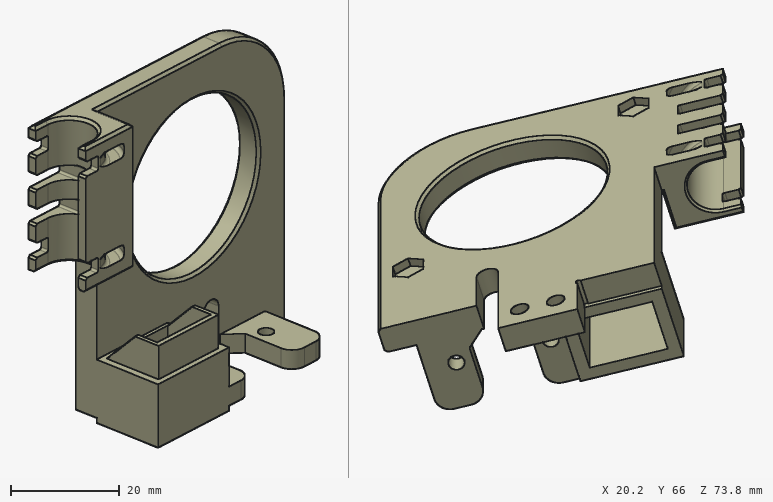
import cadquery as cq
import math


overlap = 1.5

plate_thickness = 5.2
plate_back = 66.0
plate_top = 73.8
plate_front = 13.1
plate_bottom = 9.9
corner_radius = 18.0
edge_chamfer = 0.6

tab_front = 27.8
tab_back = 42.95
tab_hole_diameter = 3.4
tab_hole_height = 4.95
tab_hole_places = (31.95, 38.8)
relief_radius = 0.48
relief_offset = 0.2

ring_diameter = 36.0
ring_y = 40.2
ring_z = 47.2
slot_width = 4.1
slot_top = 22.0
nut_sides = 6
nut_across_flats = 5.8
nut_depth = 1.7
nut_places = ((17.1, 67.3), (60.15, 29.3))

clip_width = 14.0
clip_height = 29.8
clip_bottom = plate_top - clip_height
bore_radius = 5.25
bore_x = clip_width / 2
bore_y = 3.4
bore_apex = bore_y + bore_radius
clip_bottom_chamfer = 0.45

finger_slot_width = 3.0
finger_slot_pitch = 7.0
finger_flare = 0.45
finger_corner_radius = 0.45
tip_slot_depth = 3.55
tie_back = 10.7
tie_floor_radius = 7.15
tie_floor_y = 2.6
tie_corner_radius = 0.8

box_width = 20.2
box_back = 32.9
box_bottom = 8.85
box_top = 22.0
collar_top = 28.9
collar_x = (6.3, 19.0)
collar_y = (14.7, 31.4)
passage_x = (7.4, 17.85)
passage_y = (15.6, 30.5)

ear_thickness = 4.0
ear_corner_radius = 3.0
ear_gusset = 3.25
ear_hole_diameter = 3.0
ear_hole_x = 10.8
ear_hole_places = (35.95, 53.95)
near_ear_y = (box_back - overlap, 39.2)
far_ear_y = (50.8, 60.0)


def block(x_range, y_range, z_range):
    """Box spanning the given ranges along X, Y and Z."""
    spans = [(low, high - low) for low, high in (x_range, y_range, z_range)]
    corner = [low for low, _ in spans]
    lengths = [length for _, length in spans]
    return cq.Workplane("XY").box(*lengths, centered=False).translate(corner)


def make_plate():
    """Plate with its ring opening, rounded corner, bevelled rim and lower tab."""
    panel = block((0, plate_thickness), (plate_front - overlap, plate_back), (plate_bottom, plate_top))
    ring = cq.Workplane("YZ").center(ring_y, ring_z).circle(ring_diameter / 2).extrude(plate_thickness)
    panel = panel.cut(ring).edges("%CIRCLE").chamfer(edge_chamfer)
    panel = panel.edges("|X and >Y and >Z").fillet(corner_radius)
    panel = panel.faces(">Y or >Z").edges("<X or >X").chamfer(edge_chamfer)

    corner_gap = block((0, plate_thickness), (0, plate_front), (0, clip_bottom))
    tab = block((0, plate_thickness), (tab_front, tab_back), (0, plate_bottom + overlap))
    return panel.cut(corner_gap).union(tab)


def plate_openings():
    """Open slot, tab holes, corner relief and hexagonal nut pockets of the plate."""
    side = cq.Workplane("YZ")
    slot_radius = slot_width / 2
    slot_end_z = slot_top - slot_radius
    slot = block((0, plate_thickness), (tab_back, tab_back + slot_width), (0, slot_end_z))
    slot_end = side.center(tab_back + slot_radius, slot_end_z).circle(slot_radius).extrude(plate_thickness)

    tab_holes = side.pushPoints([(y, tab_hole_height) for y in tab_hole_places])
    tab_holes = tab_holes.circle(tab_hole_diameter / 2).extrude(plate_thickness)
    relief = side.center(tab_front - relief_offset, plate_bottom - relief_offset)
    relief = relief.circle(relief_radius).extrude(plate_thickness)

    half_side_angle = 180 / nut_sides
    nut_across_corners = nut_across_flats / math.cos(math.radians(half_side_angle))
    nuts = cq.Workplane("YZ")
    for y, z in nut_places:
        pocket = side.polygon(nut_sides, nut_across_corners).extrude(nut_depth)
        nuts = nuts.add(pocket.rotate((0, 0, 0), (1, 0, 0), half_side_angle).translate((0, y, z)))
    return slot.union(slot_end).union(tab_holes).union(relief).union(nuts.combine())


def make_clip():
    """Block with a U-shaped bore open toward -Y, bevelled at both ends."""
    blank = cq.Workplane("XY").rect(clip_width, plate_front, centered=False).extrude(clip_height)
    bore = cq.Workplane("XY").center(bore_x, bore_y).circle(bore_radius).extrude(clip_height)
    mouth = block((bore_x - bore_radius, bore_x + bore_radius), (0, bore_y), (0, clip_height))
    clip = blank.cut(bore).cut(mouth)
    clip = clip.faces(">Z").edges().chamfer(edge_chamfer)
    clip = clip.faces("<Z").edges("not (<X or <Y)").chamfer(clip_bottom_chamfer)
    return clip.translate((0, 0, clip_bottom))


def finger_slot(x_end, depth, z):
    """Slot cut in from Y = 0 at height z, with rounded inner corners and a flared mouth."""
    half = finger_slot_width / 2
    flare = half + finger_flare
    slot = cq.Workplane("YZ").polyline([
        (0, -flare),
        (finger_flare, -half),
        (depth, -half),
        (depth, half),
        (finger_flare, half),
        (0, flare),
    ]).close().extrude(x_end)
    return slot.edges("|X and >Y").fillet(finger_corner_radius).translate((0, 0, z))


def tie_channel(z):
    """Ring-shaped cable-tie channel around the bore, with a rounded rectangular section."""
    outer_radius = math.hypot(bore_x, tie_back - tie_floor_y)
    ring = cq.Workplane("XY").circle(outer_radius).circle(tie_floor_radius).extrude(finger_slot_width)
    ring = ring.edges("%CIRCLE").fillet(tie_corner_radius)
    return ring.translate((bore_x, tie_floor_y, z - finger_slot_width / 2))


def clip_openings():
    """Two half slots through the plate side, and outer slots paired with cable-tie channels."""
    middle = clip_bottom + clip_height / 2
    openings = cq.Workplane("XY")
    for side in (-1, 1):
        inner_z = middle + side * finger_slot_pitch / 2
        outer_z = inner_z + side * finger_slot_pitch
        openings = openings.add(finger_slot(bore_x, bore_apex, inner_z))
        openings = openings.add(finger_slot(clip_width, tip_slot_depth, outer_z))
        openings = openings.add(tie_channel(outer_z))
    return openings.combine()


def make_box():
    """Box behind the plate, with a collar sloped at 45 degrees and a passage along Z."""
    body = block((plate_thickness - overlap, box_width), (plate_front, box_back), (plate_bottom, box_top))
    foot = block((plate_thickness, box_width), (plate_front, box_back), (box_bottom, plate_bottom))
    rise = collar_top - box_top
    left, right = collar_x
    collar = cq.Workplane("XZ", origin=(0, collar_y[0], 0)).polyline([
        (left, box_top),
        (left + rise, collar_top),
        (right, collar_top),
        (right, box_top),
    ]).close().extrude(collar_y[0] - collar_y[1])
    passage = block(passage_x, passage_y, (box_bottom, collar_top))
    return body.union(foot).union(collar).cut(passage)


def make_ear(y_range, rounded, gusset_y, gusset_step):
    """Flat ear; a signed gusset_step sets which way its 45 degree gusset runs along the plate."""
    z_range = (plate_bottom, plate_bottom + ear_thickness)
    ear = block((plate_thickness - overlap, box_width), y_range, z_range)
    ear = ear.edges(rounded).fillet(ear_corner_radius)
    gusset = cq.Workplane("XY", origin=(0, 0, plate_bottom)).polyline([
        (plate_thickness, gusset_y),
        (plate_thickness + ear_gusset, gusset_y),
        (plate_thickness, gusset_y + gusset_step),
    ]).close().extrude(ear_thickness)
    return ear.union(gusset)


def ear_holes():
    """Screw holes through both ears."""
    holes = cq.Workplane("XY", origin=(0, 0, plate_bottom))
    holes = holes.pushPoints([(ear_hole_x, y) for y in ear_hole_places])
    return holes.circle(ear_hole_diameter / 2).extrude(ear_thickness)


near_ear = make_ear(near_ear_y, "|Z and >X and >Y", near_ear_y[1], ear_gusset)
far_ear = make_ear(far_ear_y, "|Z and >X", far_ear_y[0], -ear_gusset)
ears = near_ear.union(far_ear).cut(ear_holes())
solid = make_plate().union(make_clip()).union(make_box()).union(ears)
result = solid.cut(plate_openings()).cut(clip_openings())